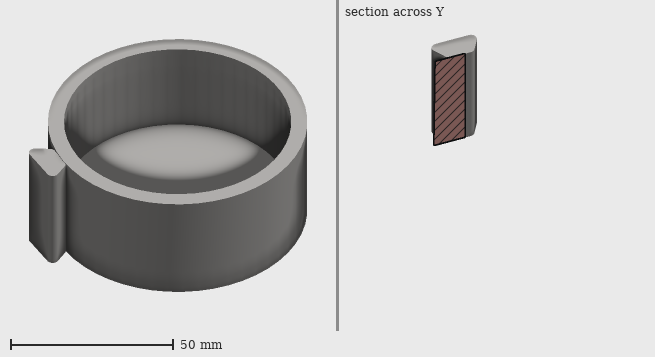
import cadquery as cq
import math

cup_diameter = 80.0
bore_diameter = 70.0
cup_height = 35.0
floor_thickness = (cup_diameter - bore_diameter) / 2

overall_depth = 87.2
rail_center_x = -3.8
rail_height = 34.7
rail_face_flat = 11.1
rail_edge_radius = 1.8
rail_flank_angle = 31
rail_depth = 7.6

rail_outer_y = cup_diameter / 2 - overall_depth
rail_inner_y = rail_outer_y + rail_depth


def make_cup():
    body = cq.Workplane("XY").circle(cup_diameter / 2).extrude(cup_height)
    bore = (
        cq.Workplane("XY")
        .workplane(offset=floor_thickness)
        .circle(bore_diameter / 2)
        .extrude(cup_height - floor_thickness)
    )
    return body.cut(bore)


def make_rail():
    flank = math.radians(rail_flank_angle)
    corner_setback = rail_edge_radius / math.tan((math.pi / 2 - flank) / 2)
    outer_half = rail_face_flat / 2 + corner_setback
    inner_half = outer_half - rail_depth * math.tan(flank)
    return (
        cq.Workplane("XY")
        .polyline([
            (rail_center_x - outer_half, rail_outer_y),
            (rail_center_x + outer_half, rail_outer_y),
            (rail_center_x + inner_half, rail_inner_y),
            (rail_center_x - inner_half, rail_inner_y),
        ])
        .close()
        .extrude(rail_height)
        .edges("|Z")
        .fillet(rail_edge_radius)
    )


result = make_cup().union(make_rail())